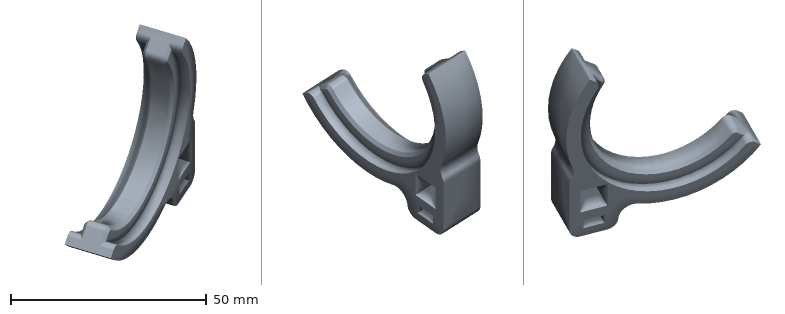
import cadquery as cq
import math

width = 13.0
outer_radius = 30.0
band_inner_radius = 26.0
rib_inner_radius = 22.0
tilt = math.radians(38.5)
band_tip_radius = 2.0
rib_tip_radius = 2.0
root_radius = band_inner_radius + band_tip_radius
rib_width = 6.95
rib_chamfer = 0.85

tab_width = 13.4
tab_height = 22.0
tab_center_y = 22.4
tab_bottom = -34.4
corner_radius = 3.0
neck_radius = 4.0

square_size = 7.4
square_center_z = -22.45
slot_width = 5.8
slot_height = 2.6
slot_center_z = -30.5


def half_ring(inner, outer, thickness, tip_radius):
    """Half ring below the tilted diameter, centred on X, with rounded inner end corners."""
    start = -tilt
    middle = start - math.pi / 2
    end = start - math.pi

    def at(radius, angle):
        return (-radius * math.cos(angle), radius * math.sin(angle))

    body = (
        cq.Workplane("YZ")
        .moveTo(*at(outer, start))
        .threePointArc(at(outer, middle), at(outer, end))
        .lineTo(*at(inner, end))
        .threePointArc(at(inner, middle), at(inner, start))
        .close()
        .extrude(thickness / 2, both=True)
    )
    for angle in (start, end):
        corner = at(inner, angle)
        edge = cq.selectors.NearestToPointSelector((0, *corner))
        body = body.edges("|X").edges(edge).fillet(tip_radius)
    return body


def make_rib():
    """Rib rooted in the band, chamfered along its bore and around its ends."""
    rib = half_ring(rib_inner_radius, root_radius, rib_width, rib_tip_radius)
    outermost = cq.selectors.RadiusNthSelector(-1)
    side_edges = rib.faces("<X or >X").edges()
    root_edges = side_edges.edges("%CIRCLE").edges(outermost)
    exposed_edges = [edge for edge in side_edges.vals() if edge not in root_edges.vals()]
    return rib.newObject(exposed_edges).chamfer(rib_chamfer)


def neck_center(corner, side):
    """Centre of the circle touching both the ring and a tab corner; side picks the solution."""
    from_ring = outer_radius + neck_radius
    from_corner = corner_radius + neck_radius
    distance = math.hypot(*corner)
    along = (from_ring**2 - from_corner**2 + distance**2) / (2 * distance)
    offset = side * math.sqrt(from_ring**2 - along**2)
    uy = corner[0] / distance
    uz = corner[1] / distance
    return (along * uy - offset * uz, along * uz + offset * uy)


def make_neck(corner, side):
    """Web between the ring and a tab corner, hollowed by the tangent neck circle."""
    center = neck_center(corner, side)
    ring_share = outer_radius / (outer_radius + neck_radius)
    corner_share = corner_radius / (corner_radius + neck_radius)
    ring_touch = (center[0] * ring_share, center[1] * ring_share)
    corner_touch = tuple(k + (c - k) * corner_share for k, c in zip(corner, center))
    web_root = (corner[0], -math.sqrt(root_radius**2 - corner[0] ** 2))
    web = (
        cq.Workplane("YZ")
        .polyline([web_root, ring_touch, center, corner_touch, corner])
        .close()
        .extrude(width / 2, both=True)
    )
    hollow = cq.Workplane("YZ").center(*center).circle(neck_radius).extrude(width / 2, both=True)
    return web.cut(hollow)


def tab_block(block_width, block_height, center_z):
    return cq.Workplane("XY").box(width, block_width, block_height).translate((0, tab_center_y, center_z))


def make_tab():
    tab = tab_block(tab_width, tab_height, tab_bottom + tab_height / 2)
    return tab.edges("|X").fillet(corner_radius)


tab_outer_corner = (
    tab_center_y + tab_width / 2 - corner_radius,
    tab_bottom + tab_height - corner_radius,
)
tab_inner_corner = (
    tab_center_y - tab_width / 2 + corner_radius,
    tab_bottom + corner_radius,
)

tab = make_tab().union(make_neck(tab_outer_corner, 1)).union(make_neck(tab_inner_corner, -1))
ring_space = cq.Workplane("YZ").circle(root_radius).extrude(width / 2, both=True)
band = half_ring(band_inner_radius, outer_radius, width, band_tip_radius)

result = (
    band.union(tab.cut(ring_space))
    .union(make_rib())
    .cut(tab_block(square_size, square_size, square_center_z))
    .cut(tab_block(slot_width, slot_height, slot_center_z))
)